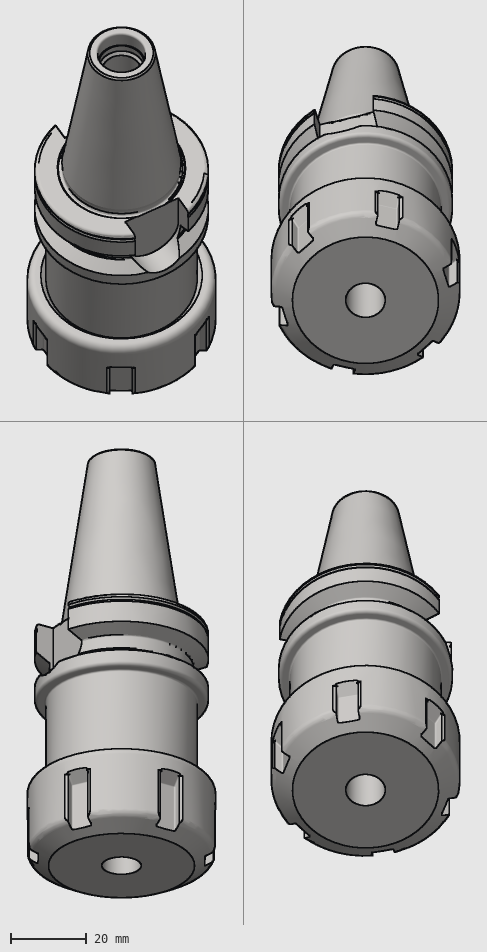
import cadquery as cq
import math


total_height = 118.4
cut_clearance = 1.2

nut_radius = 49.8 / 2
nut_height = 23.0
nut_top_fillet = 2.1
nut_bottom_fillet = 2.4
nut_face_radius = 19.3
nut_cone_angle = math.radians(30)
nut_mouth_chamfer = 1.3

slot_count = 6
first_slot_angle = 30
slot_width = 5.9
slot_mouth_width = 7.6
slot_mouth_depth = 0.4
slot_floor_radius = 22.0
slot_corner_fillet = 0.41
slot_top = 15.4
tall_slot_top = 17.6

body_radius = 20.0
flange_radius = 23.0
flange_bottom = 47.8
flange_top = 69.0
flange_fillet = 1.1
body_corner_fillet = 0.5

grip_radius = 19.1
grip_bottom_edge = 52.2
grip_top_edge = 60.6
grip_angle = math.radians(30)
grip_corner_fillet = 0.5
mark_bottom = 66.5
mark_top = 67.8
mark_depth = 0.4

keyway_width = 16.1
keyway_floor = 16.2
keyway_bottom = 50.7

neck_radius = 15.6
neck_top = 70.3
neck_fillet = 0.6
recess_radius = 16.9
recess_depth = 0.2
taper_bottom = 71.3
taper_bottom_radius = 15.7
taper_half_slope = 7 / 48
taper_top_chamfer = 0.5

bore_radius = 5.2
counterbore_radius = 6.3
counterbore_depth = 4.7
thread_radius = 6.0
thread_depth = 7.0
bore_mouth_fillet = 0.6


def nut_body():
    cone_rise = (nut_radius - nut_face_radius) * math.tan(nut_cone_angle)
    tangent = nut_bottom_fillet * math.tan((math.pi / 2 - nut_cone_angle) / 2)
    arc_start = (
        nut_radius - tangent * math.cos(nut_cone_angle),
        cone_rise - tangent * math.sin(nut_cone_angle),
    )
    return (
        cq.Workplane("XZ")
        .moveTo(0, 0)
        .lineTo(nut_face_radius, 0)
        .lineTo(*arc_start)
        .radiusArc((nut_radius, cone_rise + tangent), -nut_bottom_fillet)
        .lineTo(nut_radius, nut_height - nut_top_fillet)
        .radiusArc((nut_radius - nut_top_fillet, nut_height), -nut_top_fillet)
        .lineTo(body_radius + nut_mouth_chamfer, nut_height)
        .lineTo(body_radius, nut_height - nut_mouth_chamfer)
        .lineTo(0, nut_height - nut_mouth_chamfer)
        .close()
        .revolve(360, (0, 0, 0), (0, 1, 0))
    )


def slot_cutter(roof_edge):
    """Spanner slot along +X, open at the nut face, with a 45 degree roof falling inwards."""
    outer = nut_radius + cut_clearance
    mouth_radius = math.sqrt(nut_radius**2 - (slot_mouth_width / 2) ** 2)
    throat_radius = mouth_radius - slot_mouth_depth
    flare_slope = (slot_mouth_width - slot_width) / 2 / slot_mouth_depth
    outer_half_width = slot_width / 2 + flare_slope * (outer - throat_radius)

    def roof_height(radius):
        return roof_edge + radius - nut_radius

    channel = (
        cq.Workplane("XZ")
        .moveTo(slot_floor_radius, 0)
        .lineTo(outer, 0)
        .lineTo(outer, roof_height(outer))
        .lineTo(slot_floor_radius, roof_height(slot_floor_radius))
        .close()
        .extrude(slot_width / 2, both=True)
        .edges("not(|X or >X or <Z)")
        .fillet(slot_corner_fillet)
    )
    flare = (
        cq.Workplane("XY")
        .moveTo(throat_radius, -slot_width / 2)
        .lineTo(outer, -outer_half_width)
        .lineTo(outer, outer_half_width)
        .lineTo(throat_radius, slot_width / 2)
        .close()
        .extrude(roof_height(throat_radius))
    )
    return channel.union(flare)


def nut():
    slotted = nut_body()
    for i in range(slot_count):
        angle = first_slot_angle + i * 360 / slot_count
        roof_edge = tall_slot_top if angle < 180 else slot_top
        slotted = slotted.cut(slot_cutter(roof_edge).rotate((0, 0, 0), (0, 0, 1), angle))
    return slotted


def shank():
    """Body, flange, neck and taper as one turned profile."""
    grip_rise = (flange_radius - grip_radius) * math.tan(grip_angle)
    lower_corner = grip_bottom_edge + grip_rise
    upper_corner = grip_top_edge - grip_rise
    tangent = grip_corner_fillet * math.tan((math.pi / 2 - grip_angle) / 2)
    wall_end_radius = grip_radius + tangent * math.cos(grip_angle)
    wall_setback = tangent * math.sin(grip_angle)
    taper_top_radius = taper_bottom_radius - (total_height - taper_bottom) * taper_half_slope
    recess_floor = flange_top - recess_depth
    return (
        cq.Workplane("XZ")
        .moveTo(0, 0)
        .lineTo(nut_face_radius, 0)
        .lineTo(nut_face_radius, nut_height / 2)
        .lineTo(body_radius, nut_height / 2)
        .lineTo(body_radius, flange_bottom - body_corner_fillet)
        .radiusArc((body_radius + body_corner_fillet, flange_bottom), body_corner_fillet)
        .lineTo(flange_radius - flange_fillet, flange_bottom)
        .radiusArc((flange_radius, flange_bottom + flange_fillet), -flange_fillet)
        .lineTo(flange_radius, grip_bottom_edge)
        .lineTo(wall_end_radius, lower_corner - wall_setback)
        .radiusArc((grip_radius, lower_corner + tangent), grip_corner_fillet)
        .lineTo(grip_radius, upper_corner - tangent)
        .radiusArc((wall_end_radius, upper_corner + wall_setback), grip_corner_fillet)
        .lineTo(flange_radius, grip_top_edge)
        .lineTo(flange_radius, mark_bottom)
        .lineTo(flange_radius - mark_depth, (mark_bottom + mark_top) / 2)
        .lineTo(flange_radius, mark_top)
        .lineTo(flange_radius, flange_top - flange_fillet)
        .radiusArc((flange_radius - flange_fillet, flange_top), -flange_fillet)
        .lineTo(recess_radius, flange_top)
        .lineTo(recess_radius - recess_depth, recess_floor)
        .lineTo(neck_radius + neck_fillet, recess_floor)
        .radiusArc((neck_radius, recess_floor + neck_fillet), neck_fillet)
        .lineTo(neck_radius, neck_top)
        .lineTo(taper_bottom_radius, taper_bottom)
        .lineTo(taper_top_radius + taper_top_chamfer * taper_half_slope, total_height - taper_top_chamfer)
        .lineTo(taper_top_radius - taper_top_chamfer, total_height)
        .lineTo(0, total_height)
        .close()
        .revolve(360, (0, 0, 0), (0, 1, 0))
    )


def keyway(side):
    """Round-ended drive keyway, open at the flange top, on the +X (1) or -X (-1) side."""
    half_width = keyway_width / 2
    round_centre = keyway_bottom + half_width
    return (
        cq.Workplane("YZ")
        .moveTo(-half_width, flange_top)
        .lineTo(-half_width, round_centre)
        .threePointArc((0, keyway_bottom), (half_width, round_centre))
        .lineTo(half_width, flange_top)
        .close()
        .extrude(side * (flange_radius + cut_clearance - keyway_floor))
        .translate((side * keyway_floor, 0, 0))
    )


def bore():
    """Through hole with a conical step up to the thread bore and a shallow counterbore above."""
    counterbore_floor = total_height - counterbore_depth
    thread_floor = total_height - thread_depth
    return (
        cq.Workplane("XZ")
        .moveTo(0, 0)
        .lineTo(bore_radius, 0)
        .lineTo(bore_radius, thread_floor - (thread_radius - bore_radius))
        .lineTo(thread_radius, thread_floor)
        .lineTo(thread_radius, counterbore_floor)
        .lineTo(counterbore_radius, counterbore_floor)
        .lineTo(counterbore_radius, total_height - bore_mouth_fillet)
        .radiusArc((counterbore_radius + bore_mouth_fillet, total_height), bore_mouth_fillet)
        .lineTo(0, total_height)
        .close()
        .revolve(360, (0, 0, 0), (0, 1, 0))
    )


holder = shank()
for side in (1, -1):
    holder = holder.cut(keyway(side))
result = holder.union(nut()).cut(bore())